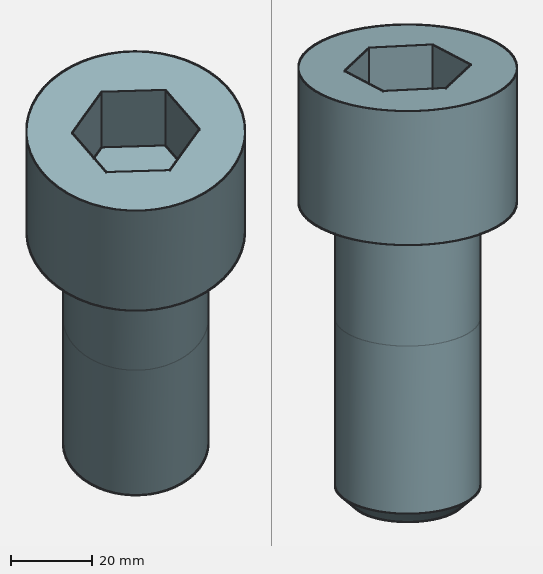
import cadquery as cq
import math

thread_diameter = 36.0
shank_length = 80.0
thread_length = 49.0
tip_chamfer = 4.0
head_diameter = 54.0
head_height = thread_diameter
hex_across_flats = 27.2
socket_depth = 20.0

thread_radius = thread_diameter / 2
plain_length = shank_length - thread_length
hex_across_corners = hex_across_flats / math.cos(math.pi / 6)


def make_head():
    """Cylindrical head standing on the bearing plane at Z = 0."""
    return cq.Workplane("XY").circle(head_diameter / 2).extrude(head_height)


def make_plain_shank():
    """Unthreaded part of the shank, directly below the head."""
    return cq.Workplane("XY").circle(thread_radius).extrude(-plain_length)


def make_thread():
    """Threaded part of the shank as a smooth cylinder with a chamfered tip."""
    thread = (
        cq.Workplane("XY")
        .workplane(offset=-shank_length)
        .circle(thread_radius)
        .extrude(thread_length)
    )
    return thread.faces("<Z").chamfer(tip_chamfer)


def make_socket():
    """Hexagonal socket with two corners in line with X, sunk from the head top."""
    return (
        cq.Workplane("XY")
        .workplane(offset=head_height)
        .polygon(6, hex_across_corners)
        .extrude(-socket_depth)
    )


bolt = make_head().union(make_plain_shank(), clean=False).union(make_thread(), clean=False)
result = bolt.cut(make_socket(), clean=False)